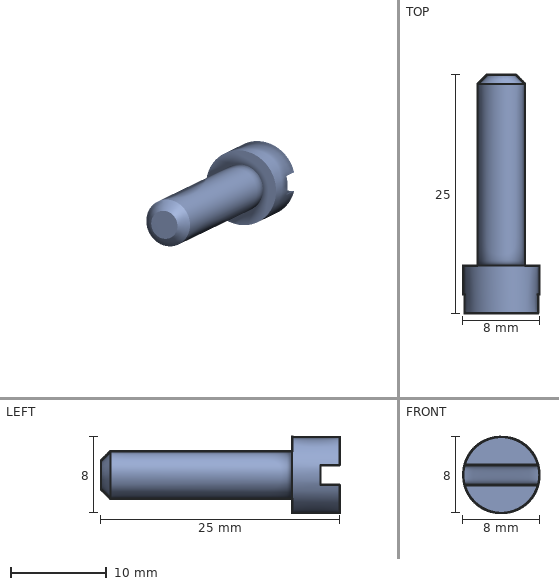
import cadquery as cq

total_length = 25.0
head_diameter = 8.0
head_height = 5.0
shank_diameter = 5.0
tip_chamfer = 1.0
slot_width = 2.0
slot_depth = 2.0
slot_edge_chamfer = 0.1

shank_length = total_length - head_height


def make_head():
    """Cylindrical head reaching from the underside toward -Y."""
    return cq.Workplane("XZ").circle(head_diameter / 2).extrude(head_height)


def make_shank():
    """Plain shank toward +Y with a chamfered tip."""
    shank = cq.Workplane("XZ").circle(shank_diameter / 2).extrude(-shank_length)
    return shank.faces(">Y").edges().chamfer(tip_chamfer)


def make_slot():
    """Driver slot across the full head along X, flared by 45 degree chamfers at its mouth."""
    half_width = slot_width / 2
    mouth_half_width = half_width + slot_edge_chamfer
    mouth_y = -head_height
    chamfer_y = mouth_y + slot_edge_chamfer
    floor_y = mouth_y + slot_depth
    profile = [
        (mouth_y, -mouth_half_width),
        (chamfer_y, -half_width),
        (floor_y, -half_width),
        (floor_y, half_width),
        (chamfer_y, half_width),
        (mouth_y, mouth_half_width),
    ]
    return cq.Workplane("YZ").polyline(profile).close().extrude(head_diameter / 2, both=True)


result = make_head().union(make_shank()).cut(make_slot())